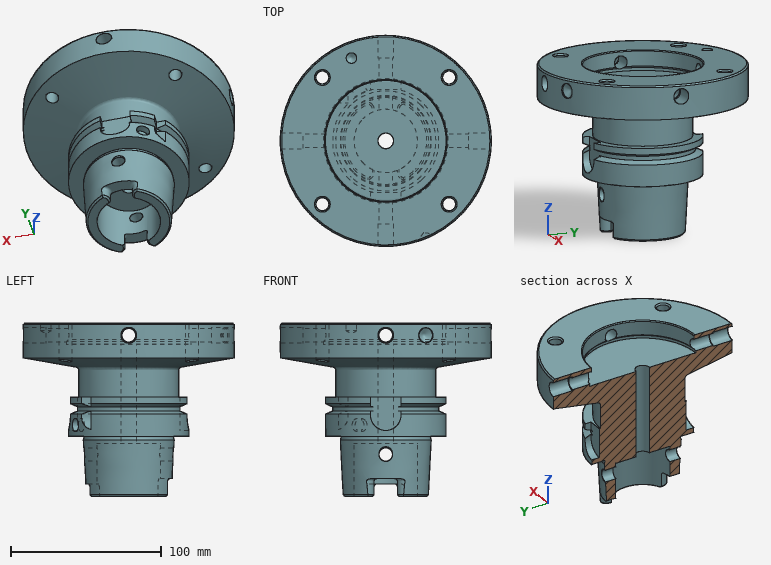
import cadquery as cq
import math


TOP_Z = 75.0
PLATE_RADIUS = 70.0
PLATE_RIM_BOTTOM_Z = 52.0
PLATE_CHAMFER = 1.0
UNDERSIDE_ANGLE = 10.0

NECK_RADIUS = 33.2
NECK_FILLET = 2.0

FLANGE_RADIUS = 40.0
FLANGE_TOP_Z = 26.0
GROOVE_MID_Z = 18.2
GROOVE_MOUTH_WIDTH = 7.0
GROOVE_SHOULDER_WIDTH = 3.6
GROOVE_FLOOR_WIDTH = 2.8
GROOVE_SHOULDER_RADIUS = 36.4
GROOVE_FLOOR_RADIUS = 35.15

SHANK_LENGTH = 39.9
SHANK_RADIUS = 30.2
SHANK_RELIEF_RADIUS = 29.8
SHANK_RELIEF_LENGTH = 2.3
SHANK_RELIEF_SLOPE = 1.4
SHANK_TAPER = 1 / 20
SHANK_TIP_CHAMFER = 1.2
BORE_RADIUS = 21.0
BORE_DEPTH = 35.0

RECESS_RADIUS = 40.0
RECESS_DEPTH = 13.9
RECESS_CHAMFER = 0.7
RELIEF_RADIUS = 41.3
RELIEF_HEIGHT = 3.0
RELIEF_FLOOR_RADIUS = 39.0
RELIEF_FLOOR_DROP = 0.3

CENTRE_HOLE_DIAMETER = 10.2
SCREW_DIAMETER = 8.5
SCREW_MOUTH_DIAMETER = 10.5
SCREW_SPACING = 84.0
RADIAL_HOLE_Z = TOP_Z - 8.0
RADIAL_HOLE_DIAMETER = 9.0
RADIAL_COUNTERBORE_DIAMETER = 10.5
RADIAL_COUNTERBORE_DEPTH = 15.0
BALANCE_CIRCLE_RADIUS = 59.4
BALANCE_ANGLE = 112.5
BALANCE_RIM_DIAMETER = 10.0
BALANCE_RIM_DEPTH = 1.2
BALANCE_TOP_DIAMETER = 7.0
BALANCE_TOP_DEPTH = 5.0
DRILL_POINT_ANGLE = 118.0
SHANK_HOLE_DIAMETER = 8.8
SHANK_HOLE_CHAMFER = 0.5
SHANK_HOLE_Z = -12.0
CHIP_HOLE_ANGLE = 117.5
CHIP_HOLE_DIAMETER = 8.8
CHIP_HOLE_DEPTH = 4.6
CHIP_HOLE_Z = 7.5

SLOT_RADIUS = 10.1
SLOT_CENTRE_Z = 14.0
SLOT_FLOOR_DISTANCE = 34.1
NOTCH_WALL_DISTANCE = 25.0
NOTCH_RADIUS = 9.0
NOTCH_CENTRE_Z = 13.1

KEYWAY_HALF_WIDTH = 7.7
KEYWAY_MOUTH_RADIUS = 5.0
KEYWAY_FLAT_DISTANCE = 25.8
KEYWAY_ROOF_FILLET = 1.7
KEYWAY_DEPTH_FRONT = 11.8
KEYWAY_DEPTH_BACK = 8.3


def revolved_body():
    """Plate, neck, flange and shank as one turned profile."""
    cone_drop = (PLATE_RADIUS - NECK_RADIUS) * math.tan(math.radians(UNDERSIDE_ANGLE))
    neck_top_z = PLATE_RIM_BOTTOM_Z - cone_drop
    tip_radius = SHANK_RADIUS - SHANK_TAPER * (SHANK_LENGTH - SHANK_RELIEF_LENGTH)
    body = (
        cq.Workplane("XZ")
        .moveTo(0, TOP_Z)
        .lineTo(PLATE_RADIUS - PLATE_CHAMFER, TOP_Z)
        .lineTo(PLATE_RADIUS, TOP_Z - PLATE_CHAMFER)
        .lineTo(PLATE_RADIUS, PLATE_RIM_BOTTOM_Z)
        .lineTo(NECK_RADIUS, neck_top_z)
        .lineTo(NECK_RADIUS, FLANGE_TOP_Z)
        .lineTo(FLANGE_RADIUS, FLANGE_TOP_Z)
        .lineTo(FLANGE_RADIUS, GROOVE_MID_Z + GROOVE_MOUTH_WIDTH / 2)
        .lineTo(GROOVE_SHOULDER_RADIUS, GROOVE_MID_Z + GROOVE_SHOULDER_WIDTH / 2)
        .lineTo(GROOVE_FLOOR_RADIUS, GROOVE_MID_Z + GROOVE_FLOOR_WIDTH / 2)
        .lineTo(GROOVE_FLOOR_RADIUS, GROOVE_MID_Z - GROOVE_FLOOR_WIDTH / 2)
        .lineTo(GROOVE_SHOULDER_RADIUS, GROOVE_MID_Z - GROOVE_SHOULDER_WIDTH / 2)
        .lineTo(FLANGE_RADIUS, GROOVE_MID_Z - GROOVE_MOUTH_WIDTH / 2)
        .lineTo(FLANGE_RADIUS, 0)
        .lineTo(SHANK_RELIEF_RADIUS, 0)
        .lineTo(SHANK_RELIEF_RADIUS, SHANK_RELIEF_SLOPE - SHANK_RELIEF_LENGTH)
        .lineTo(SHANK_RADIUS, -SHANK_RELIEF_LENGTH)
        .lineTo(tip_radius, SHANK_TIP_CHAMFER - SHANK_LENGTH)
        .lineTo(tip_radius - SHANK_TIP_CHAMFER, -SHANK_LENGTH)
        .lineTo(0, -SHANK_LENGTH)
        .close()
        .revolve(360, (0, 0, 0), (0, 1, 0))
    )
    reach = NECK_RADIUS + NECK_FILLET
    neck_edge = cq.selectors.BoxSelector(
        (-reach, -reach, neck_top_z - NECK_FILLET),
        (reach, reach, neck_top_z + NECK_FILLET),
        boundingbox=True,
    )
    return body.edges(neck_edge).fillet(NECK_FILLET)


def top_recess():
    """Round recess with a chamfered mouth and an undercut in its corner."""
    floor_z = TOP_Z - RECESS_DEPTH
    relief_top_z = floor_z + RELIEF_HEIGHT
    return (
        cq.Workplane("XZ")
        .moveTo(0, floor_z)
        .lineTo(RELIEF_FLOOR_RADIUS, floor_z)
        .lineTo(RELIEF_RADIUS, floor_z - RELIEF_FLOOR_DROP)
        .lineTo(RELIEF_RADIUS, relief_top_z - (RELIEF_RADIUS - RECESS_RADIUS))
        .lineTo(RECESS_RADIUS, relief_top_z)
        .lineTo(RECESS_RADIUS, TOP_Z - RECESS_CHAMFER)
        .lineTo(RECESS_RADIUS + RECESS_CHAMFER, TOP_Z)
        .lineTo(0, TOP_Z)
        .close()
        .revolve(360, (0, 0, 0), (0, 1, 0))
    )


def turned_along(points, origin, direction):
    """Solid turned from (radius, depth) points about an axis that starts at origin."""
    outline = cq.Workplane("XZ").polyline(points).close()
    solid = outline.revolve(360, (0, 0, 0), (0, 1, 0)).val()
    return cq.Workplane(solid.moved(cq.Plane(origin, normal=direction).location))


def countersunk_hole(origin, direction, diameter, mouth_diameter, length):
    """Straight hole with a 45 degree countersunk mouth at its origin."""
    radius = diameter / 2
    mouth = mouth_diameter / 2
    points = [(0, 0), (mouth, 0), (radius, mouth - radius), (radius, length), (0, length)]
    return turned_along(points, origin, direction)


def radial_hole(angle):
    """Stepped hole from the plate rim into the recess, wider on the rim side."""
    radius = RADIAL_HOLE_DIAMETER / 2
    wide_radius = RADIAL_COUNTERBORE_DIAMETER / 2
    depth = RADIAL_COUNTERBORE_DEPTH
    length = PLATE_RADIUS - RECESS_RADIUS / 2
    points = [
        (0, 0),
        (wide_radius, 0),
        (wide_radius, depth),
        (radius, depth),
        (radius, length),
        (0, length),
    ]
    rim_point = on_circle(PLATE_RADIUS, angle, RADIAL_HOLE_Z)
    inward = on_circle(-1, angle, 0)
    return turned_along(points, rim_point, inward)


def pointed_hole(origin, direction, diameter, depth):
    """Blind drilled hole ending in a drill point."""
    radius = diameter / 2
    point_length = radius / math.tan(math.radians(DRILL_POINT_ANGLE / 2))
    points = [(0, 0), (radius, 0), (radius, depth), (0, depth + point_length)]
    return turned_along(points, origin, direction)


def on_circle(radius, angle, z):
    """Point at a polar position and height."""
    turn = math.radians(angle)
    return cq.Vector(radius * math.cos(turn), radius * math.sin(turn), z)


def plate_holes():
    """Screw holes through the plate and through its rim, and two balancing holes."""
    down = cq.Vector(0, 0, -1)
    holes = []
    length = TOP_Z - FLANGE_TOP_Z
    for x in (-SCREW_SPACING / 2, SCREW_SPACING / 2):
        for y in (-SCREW_SPACING / 2, SCREW_SPACING / 2):
            top_point = cq.Vector(x, y, TOP_Z)
            holes.append(countersunk_hole(top_point, down, SCREW_DIAMETER, SCREW_MOUTH_DIAMETER, length))
    for angle in range(0, 360, 90):
        holes.append(radial_hole(angle))
    top_point = on_circle(BALANCE_CIRCLE_RADIUS, BALANCE_ANGLE, TOP_Z)
    holes.append(pointed_hole(top_point, down, BALANCE_TOP_DIAMETER, BALANCE_TOP_DEPTH))
    rim_point = on_circle(-PLATE_RADIUS, BALANCE_ANGLE, RADIAL_HOLE_Z)
    inward = on_circle(1, BALANCE_ANGLE, 0)
    holes.append(pointed_hole(rim_point, inward, BALANCE_RIM_DIAMETER, BALANCE_RIM_DEPTH))
    return holes


def shank_bore():
    """Bore of the hollow shank, open at the tip."""
    return cq.Workplane("XY").workplane(offset=-SHANK_LENGTH).circle(BORE_RADIUS).extrude(BORE_DEPTH)


def centre_hole():
    """Hole on the axis from the recess floor into the shank bore."""
    return (
        cq.Workplane("XY")
        .workplane(offset=-SHANK_LENGTH)
        .circle(CENTRE_HOLE_DIAMETER / 2)
        .extrude(SHANK_LENGTH + TOP_Z)
    )


def shank_cross_hole():
    """Hole along +Y through one wall of the hollow shank, chamfered outside."""
    wall_y = SHANK_RADIUS - SHANK_TAPER * (-SHANK_HOLE_Z - SHANK_RELIEF_LENGTH)
    mouth_point = cq.Vector(0, wall_y + SHANK_HOLE_CHAMFER, SHANK_HOLE_Z)
    mouth_diameter = SHANK_HOLE_DIAMETER + 4 * SHANK_HOLE_CHAMFER
    inward = cq.Vector(0, -1, 0)
    return countersunk_hole(mouth_point, inward, SHANK_HOLE_DIAMETER, mouth_diameter, wall_y)


def chip_hole():
    """Flat-bottomed blind hole in the flange rim."""
    origin = on_circle(FLANGE_RADIUS, CHIP_HOLE_ANGLE, CHIP_HOLE_Z)
    inward = on_circle(-1, CHIP_HOLE_ANGLE, 0)
    radius = CHIP_HOLE_DIAMETER / 2
    points = [(0, -radius), (radius, -radius), (radius, CHIP_HOLE_DEPTH), (0, CHIP_HOLE_DEPTH)]
    return turned_along(points, origin, inward)


def flange_slot(centre_x, radius, centre_z, floor_distance):
    """Round-ended slot, open at the flange top, milled from +Y down to a flat floor."""
    depth = FLANGE_RADIUS - floor_distance
    return (
        cq.Workplane("XZ", origin=(0, floor_distance, 0))
        .moveTo(centre_x - radius, FLANGE_TOP_Z)
        .lineTo(centre_x - radius, centre_z)
        .threePointArc((centre_x, centre_z - radius), (centre_x + radius, centre_z))
        .lineTo(centre_x + radius, FLANGE_TOP_Z)
        .close()
        .extrude(-depth)
    )


def keyway_outline():
    """Plan outline of the keyway on the +Y side: straight walls with rounded outer corners."""
    outer = FLANGE_RADIUS
    arc_centre_x = KEYWAY_HALF_WIDTH + KEYWAY_MOUTH_RADIUS
    arc_centre_y = KEYWAY_FLAT_DISTANCE - KEYWAY_MOUTH_RADIUS
    diagonal = KEYWAY_MOUTH_RADIUS * math.sqrt(0.5)
    inner_y = BORE_RADIUS / 2
    return (
        cq.Workplane("XY", origin=(0, 0, -SHANK_LENGTH))
        .moveTo(-KEYWAY_HALF_WIDTH, inner_y)
        .lineTo(KEYWAY_HALF_WIDTH, inner_y)
        .lineTo(KEYWAY_HALF_WIDTH, arc_centre_y)
        .threePointArc(
            (arc_centre_x - diagonal, arc_centre_y + diagonal),
            (arc_centre_x, KEYWAY_FLAT_DISTANCE),
        )
        .lineTo(outer, KEYWAY_FLAT_DISTANCE)
        .lineTo(outer, outer)
        .lineTo(-outer, outer)
        .lineTo(-outer, KEYWAY_FLAT_DISTANCE)
        .lineTo(-arc_centre_x, KEYWAY_FLAT_DISTANCE)
        .threePointArc(
            (diagonal - arc_centre_x, arc_centre_y + diagonal),
            (-KEYWAY_HALF_WIDTH, arc_centre_y),
        )
        .close()
    )


def keyway(depth):
    """Keyway with a filleted roof and a 45 degree flare where it opens at the tip."""
    slot = keyway_outline().extrude(depth).faces(">Z").edges().fillet(KEYWAY_ROOF_FILLET)
    flare = keyway_outline().offset2D(SHANK_TIP_CHAMFER).extrude(SHANK_TIP_CHAMFER, taper=45)
    return slot.union(flare)


def turned_around(tool):
    """Copy of a +Y tool on the -Y side."""
    return tool.rotate((0, 0, 0), (0, 0, 1), 180)


result = revolved_body()
result = result.cut(keyway(KEYWAY_DEPTH_BACK))
result = result.cut(turned_around(keyway(KEYWAY_DEPTH_FRONT)))
result = result.cut(shank_bore())
result = result.cut(top_recess())
for hole in plate_holes():
    result = result.cut(hole)
result = result.cut(centre_hole())
result = result.cut(shank_cross_hole())
result = result.cut(turned_around(shank_cross_hole()))

drive_slot = flange_slot(0, SLOT_RADIUS, SLOT_CENTRE_Z, SLOT_FLOOR_DISTANCE)
notch_centre_x = -NOTCH_WALL_DISTANCE - NOTCH_RADIUS
result = result.cut(drive_slot)
result = result.cut(turned_around(drive_slot))
result = result.cut(flange_slot(notch_centre_x, NOTCH_RADIUS, NOTCH_CENTRE_Z, NOTCH_WALL_DISTANCE))
result = result.cut(chip_hole())